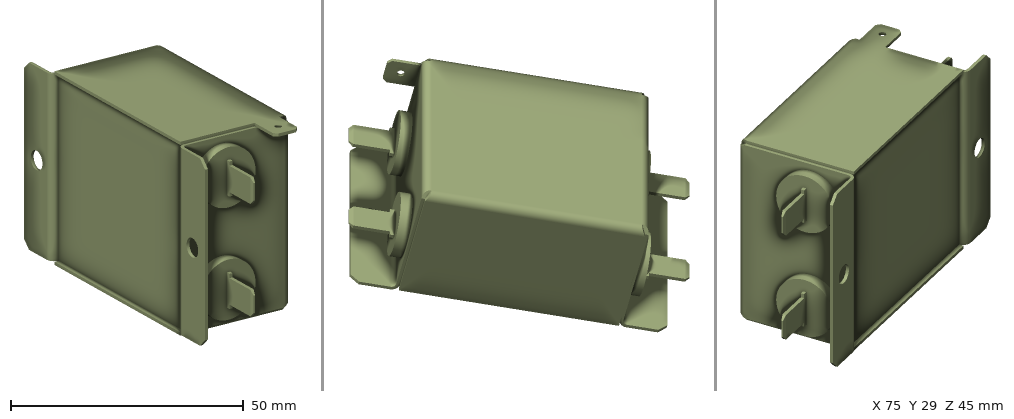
import cadquery as cq
import math

overall_length = 75.0
overall_depth = 29.0
case_height = 45.0

sheet = 0.75
bend_inner = 1.05
bend_outer = bend_inner + sheet
case_length = 49.95
back_y = overall_depth / 2
flange_front_y = -overall_depth / 2
flange_back_y = flange_front_y + sheet
bend_centre_y = flange_front_y + bend_outer

wall_x = case_length / 2
inner_x = wall_x - sheet
cover_z = case_height / 2
inner_z = cover_z - sheet

flange_x = 34.9
flange_chamfer = 1.95
mount_hole_x = 30.0
mount_hole_diameter = 4.5

tab_x = 32.1
tab_width = 6.3
tab_inset = 5.85
tab_y = back_y - tab_inset
tab_chamfer = 0.9
tab_hole_x = 28.65
tab_hole_diameter = 1.65

insulator_diameter = 14.0
insulator_x = 27.5
terminal_inset = 18.0
terminal_y = back_y - terminal_inset
terminal_z = 13.05
blade_width = 6.15
blade_thickness = 0.8
shoulder_width = 8.2
shoulder_length = 1.0
tip_length = 1.0
tip_width = 4.05
tip_thickness = 0.4


def mitred_outline(half_width, front_y):
    """Outline (half-width, Y) that narrows at the back, where the bends are mitred."""
    back_half_width = half_width + sheet - bend_outer
    return [
        (-half_width, front_y),
        (half_width, front_y),
        (half_width, back_y - bend_outer),
        (back_half_width, back_y),
        (-back_half_width, back_y),
        (-half_width, back_y - bend_outer),
    ]


def rounded_block(length, height, front_y, rounded_edges):
    """Block reaching back to the rear face, with the bends along one pair of rear edges."""
    depth = back_y - front_y
    block = cq.Workplane("XY").box(length, depth, height).translate((0, back_y - depth / 2, 0))
    return block.edges(rounded_edges).fillet(bend_outer)


def end_walls_block():
    """Case body between the end walls, bent around the vertical rear edges."""
    block = rounded_block(case_length, 2 * inner_z, bend_centre_y, ">Y and |Z")
    mitre = cq.Workplane("YZ").polyline([(y, z) for z, y in mitred_outline(inner_z, bend_centre_y)])
    return block.intersect(mitre.close().extrude(wall_x, both=True))


def covers_block():
    """Case body between the covers; its front panel is level with the start of the flange bends."""
    block = rounded_block(2 * inner_x, case_height, flange_back_y, ">Y and |X")
    mitre = cq.Workplane("XY").polyline(mitred_outline(inner_x, flange_back_y))
    block = block.intersect(mitre.close().extrude(cover_z, both=True))
    recess_depth = bend_centre_y - flange_back_y
    recess = cq.Workplane("XY").box(2 * inner_x, recess_depth, 2 * inner_z)
    return block.cut(recess.translate((0, flange_back_y + recess_depth / 2, 0)))


def flange():
    """Right mounting flange with the bend that joins it to the end wall."""
    bend_centre_x = inner_x + bend_outer
    diagonal = math.sqrt(0.5)
    outer_mid = (bend_centre_x - bend_outer * diagonal, bend_centre_y - bend_outer * diagonal)
    inner_mid = (bend_centre_x - bend_inner * diagonal, bend_centre_y - bend_inner * diagonal)
    profile = (
        cq.Workplane("XY")
        .moveTo(inner_x, back_y - bend_outer)
        .lineTo(inner_x, bend_centre_y)
        .threePointArc(outer_mid, (bend_centre_x, flange_front_y))
        .lineTo(flange_x, flange_front_y)
        .lineTo(flange_x, flange_back_y)
        .lineTo(bend_centre_x, flange_back_y)
        .threePointArc(inner_mid, (wall_x, bend_centre_y))
        .lineTo(wall_x, back_y - bend_outer)
        .close()
    )
    plate = profile.extrude(inner_z, both=True)
    plate = plate.edges(">X and |Y").chamfer(flange_chamfer)
    hole = (
        cq.Workplane("XZ")
        .center(mount_hole_x, 0)
        .circle(mount_hole_diameter / 2)
        .extrude(overall_depth, both=True)
    )
    return plate.cut(hole)


def terminal(z):
    """Right-hand insulator and blade terminal at height z."""
    insulator = (
        cq.Workplane("YZ", origin=(inner_x, terminal_y, z))
        .circle(insulator_diameter / 2)
        .extrude(insulator_x - inner_x)
    )
    blade_end = overall_length / 2 - tip_length
    shoulder = (
        cq.Workplane("YZ", origin=(insulator_x, terminal_y, z))
        .rect(blade_thickness, shoulder_width)
        .extrude(shoulder_length)
    )
    blade = (
        cq.Workplane("YZ", origin=(insulator_x, terminal_y, z))
        .rect(blade_thickness, blade_width)
        .extrude(blade_end - insulator_x)
    )
    tip = (
        cq.Workplane("YZ", origin=(blade_end, terminal_y, z))
        .rect(blade_thickness, blade_width)
        .workplane(offset=tip_length)
        .rect(tip_thickness, tip_width)
        .loft(ruled=True)
    )
    return insulator.union(shoulder).union(blade).union(tip)


def earth_tab():
    """Pierced tab that runs out of the top cover to the right."""
    plate = (
        cq.Workplane("XY", origin=(0, tab_y, inner_z))
        .moveTo(tab_x / 2, 0)
        .rect(tab_x, tab_width)
        .extrude(sheet)
        .edges(">X and |Z")
        .chamfer(tab_chamfer)
    )
    hole = (
        cq.Workplane("XY", origin=(tab_hole_x, tab_y, inner_z))
        .circle(tab_hole_diameter / 2)
        .extrude(sheet)
    )
    return plate.cut(hole)


result = end_walls_block().union(covers_block())

right_side_parts = [flange(), terminal(terminal_z), terminal(-terminal_z)]
for part in right_side_parts:
    result = result.union(part).union(part.mirror("YZ"))

result = result.union(earth_tab())